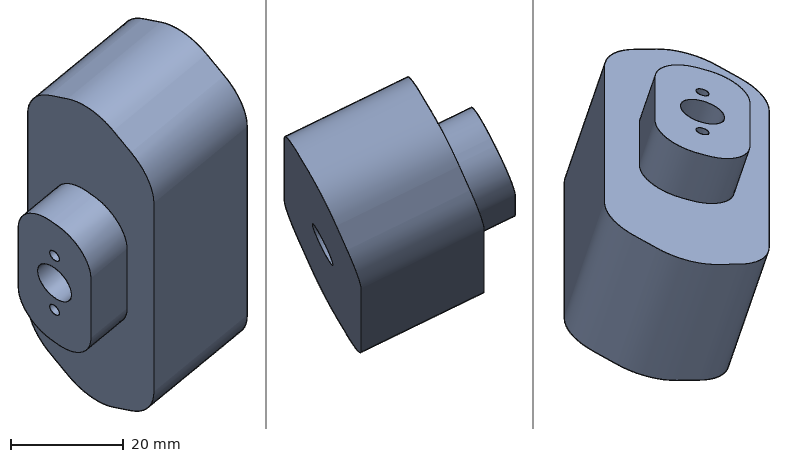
import cadquery as cq
import math

body_width = 30.6
body_height = 78.75
body_depth = 24.4
body_corner_radius = 11.0
gable_slope = math.radians(30)

boss_width = 17.65
boss_height = 32.45
boss_depth = 9.45
boss_corner_radius = 8.0

bore_diameter = 8.2
pin_hole_diameter = 2.4
pin_hole_spacing = 14.8
pin_hole_depth = boss_depth

boss_face_y = -boss_depth


def make_body():
    """Six-sided prism with rounded edges, running from Y = 0 to +Y."""
    half_width = body_width / 2
    peak_loss = body_corner_radius * (1 / math.cos(gable_slope) - 1)
    peak_z = body_height / 2 + peak_loss
    shoulder_z = peak_z - half_width * math.tan(gable_slope)
    outline = [
        (0, peak_z),
        (half_width, shoulder_z),
        (half_width, -shoulder_z),
        (0, -peak_z),
        (-half_width, -shoulder_z),
        (-half_width, shoulder_z),
    ]
    prism = cq.Workplane("XZ").polyline(outline).close().extrude(-body_depth)
    return prism.edges("|Y").fillet(body_corner_radius)


def make_boss():
    """Rounded rectangular boss, running from Y = 0 to -Y."""
    block = cq.Workplane("XZ").rect(boss_width, boss_height).extrude(boss_depth)
    return block.edges("|Y").fillet(boss_corner_radius)


def make_hole(diameter, depth, z):
    """Cylinder to cut, starting at the boss face and running toward +Y."""
    face = cq.Workplane("XZ", origin=(0, boss_face_y, z))
    return face.circle(diameter / 2).extrude(-depth)


result = make_body().union(make_boss())

result = result.cut(make_hole(bore_diameter, boss_depth + body_depth, 0))

for side in (-1, 1):
    result = result.cut(make_hole(pin_hole_diameter, pin_hole_depth, side * pin_hole_spacing / 2))